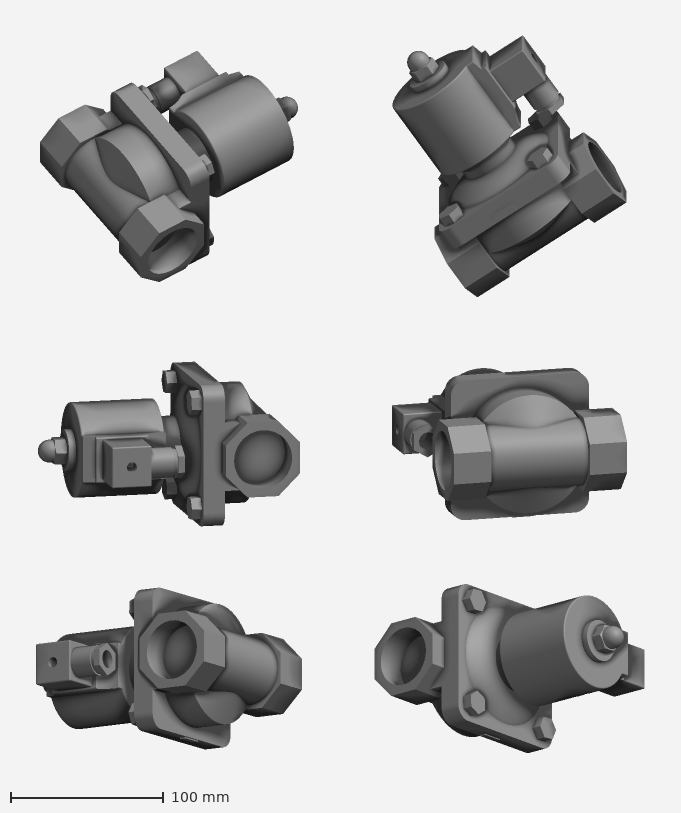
import cadquery as cq
import math


port_sides = 8
port_across_flats = 50.0
port_length = 25.5
body_length = 118.3
bore_diameter = 39.0
bore_depth = 20.0
pipe_diameter = 44.8
shell_diameter = 79.6
shell_bottom_y = 0.6
shell_cone_depth = 16.9
shell_cone_tip_diameter = 15.0
mark_length = 15.0
mark_width = 4.2
mark_height = 0.8
mark_offset_x = 2.6

flange_size = 94.2
flange_corner_radius = 9.7
body_flange_thickness = 7.3
body_flange_y = 22.7
parting_y = body_flange_y + body_flange_thickness

bonnet_flange_thickness = 7.1
bonnet_top_y = parting_y + bonnet_flange_thickness
dome_height = 8.6
dome_base_radius = 39.6
neck_diameter = 39.0
neck_length = 13.2
neck_base_y = bonnet_top_y + dome_height

bolt_across_flats = 14.0
bolt_head_height = 6.8
bolt_pitch = 70.5
bolt_turn = 4.0
bolt_count = 4

coil_diameter = 62.7
coil_length = 56.0
coil_edge_fillet = 1.0
coil_bottom_y = neck_base_y + neck_length
coil_top_y = coil_bottom_y + coil_length

pad_width = 30.5
pad_root_x = -32.7
pad_shoulder_x = -34.5
pad_face_x = -37.9
pad_face_top_y = 107.2
pad_face_bottom_y = 73.0
pad_curve_middle_y = 67.4
pad_root_fillet = 0.8
pad_edge_fillet = 1.1

plug_height = 26.8
plug_width = 27.3
plug_depth = 26.5
plug_center_y = 89.5
plug_edge_fillet = 1.0
plug_face_x = pad_face_x - plug_depth
plug_bottom_y = plug_center_y - plug_height / 2

screw_hole_diameter = 6.8
screw_hole_depth = 8.1
screw_head_diameter = 5.5
screw_head_height = 2.0
screw_head_fillet = 1.8
screw_slot_length = 3.5
screw_slot_width = 1.0
screw_slot_depth = 1.3

gland_x = -54.0
gland_diameter = 20.0
gland_length = 15.5
gland_neck_diameter = 18.0
gland_neck_length = 2.6
gland_nut_across_flats = 18.8
gland_nut_height = 4.5
gland_bore_diameter = 12.0

nut_flange_diameter = 27.6
nut_flange_thickness = 4.7
nut_across_flats = 16.4
nut_hex_height = 8.0
nut_chamfer_height = 0.6
nut_cap_diameter = 15.0
nut_cap_straight = 2.3


def hex_corner_diameter(across_flats):
    return across_flats / math.cos(math.pi / 6)


def plane_at(y):
    """Plane across the centre line at height y: local x is X, local y is Z, drawn toward +Y."""
    return cq.Workplane(cq.Plane(origin=(0, y, 0), xDir=(1, 0, 0), normal=(0, -1, 0)))


def rod(diameter, y_start, y_end):
    """Cylinder on the centre line between two heights."""
    return plane_at(y_start).circle(diameter / 2).extrude(y_start - y_end)


def hex_rod(across_flats, y_start, y_end):
    """Hexagonal prism on the centre line with its corners toward +X and -X."""
    corners = hex_corner_diameter(across_flats)
    return plane_at(y_start).polygon(6, corners).extrude(y_start - y_end)


def square_flange(y_start, y_end):
    return (
        plane_at(y_start)
        .rect(flange_size, flange_size)
        .extrude(y_start - y_end)
        .edges("|Y")
        .fillet(flange_corner_radius)
    )


def make_body():
    pipe = cq.Workplane("YZ").circle(pipe_diameter / 2).extrude(body_length / 2, both=True)

    shell = (
        cq.Workplane("XY")
        .moveTo(0, body_flange_y)
        .lineTo(shell_diameter / 2, body_flange_y)
        .lineTo(shell_diameter / 2, shell_bottom_y)
        .lineTo(shell_cone_tip_diameter / 2, shell_bottom_y - shell_cone_depth)
        .lineTo(0, shell_bottom_y - shell_cone_depth)
        .close()
        .revolve(360, (0, 0, 0), (0, 1, 0))
    )
    body = square_flange(body_flange_y, parting_y).union(shell).union(pipe)

    port_corners = port_across_flats / math.cos(math.pi / port_sides)
    lug_length = flange_size / 2 - (body_length / 2 - port_length)
    for side in (-1, 1):
        end_x = side * body_length / 2
        port = (
            cq.Workplane("YZ", origin=(end_x, 0, 0))
            .transformed(rotate=(0, 0, 180 / port_sides))
            .polygon(port_sides, port_corners)
            .extrude(-side * port_length)
        )
        lug = cq.Workplane("XY").box(lug_length, body_flange_y, pipe_diameter).translate(
            (side * (flange_size - lug_length) / 2, body_flange_y / 2, 0)
        )
        bore = (
            cq.Workplane("YZ", origin=(end_x, 0, 0))
            .circle(bore_diameter / 2)
            .extrude(-side * bore_depth)
        )
        body = body.union(port).union(lug).cut(bore)

    mark = cq.Workplane("XY").box(mark_length, mark_width, 2 * mark_height).translate(
        (mark_offset_x, body_flange_y + body_flange_thickness / 2, -flange_size / 2)
    )
    return body.union(mark)


def make_bonnet():
    neck_radius = neck_diameter / 2
    drop = (dome_base_radius**2 - neck_radius**2 - dome_height**2) / (2 * dome_height)
    sphere_radius = math.hypot(dome_base_radius, drop)
    sphere_center_y = bonnet_top_y - drop
    middle_radius = (neck_radius + dome_base_radius) / 2
    middle_y = sphere_center_y + math.sqrt(sphere_radius**2 - middle_radius**2)

    dome_and_neck = (
        cq.Workplane("XY")
        .moveTo(0, bonnet_top_y)
        .lineTo(dome_base_radius, bonnet_top_y)
        .threePointArc((middle_radius, middle_y), (neck_radius, neck_base_y))
        .lineTo(neck_radius, coil_bottom_y)
        .lineTo(0, coil_bottom_y)
        .close()
        .revolve(360, (0, 0, 0), (0, 1, 0))
    )
    return square_flange(parting_y, bonnet_top_y).union(dome_and_neck)


def make_bolt(index):
    """Hexagon head seated on one corner of the bonnet flange."""
    return (
        hex_rod(bolt_across_flats, bonnet_top_y, bonnet_top_y + bolt_head_height)
        .rotate((0, 0, 0), (0, 1, 0), bolt_turn)
        .translate((bolt_pitch / 2, 0, bolt_pitch / 2))
        .rotate((0, 0, 0), (0, 1, 0), index * 360 / bolt_count)
    )


def make_pad():
    """Pad for the plug, with a slanted top shoulder and a hollow curve below its face."""
    return (
        cq.Workplane("XY")
        .moveTo(0, coil_bottom_y)
        .lineTo(0, coil_top_y)
        .lineTo(pad_root_x, coil_top_y)
        .lineTo(pad_shoulder_x, pad_face_top_y)
        .lineTo(pad_face_x, pad_face_top_y)
        .lineTo(pad_face_x, pad_face_bottom_y)
        .threePointArc((pad_shoulder_x, pad_curve_middle_y), (pad_root_x, coil_bottom_y))
        .close()
        .extrude(pad_width / 2, both=True)
        .faces("<X")
        .edges("|Y")
        .fillet(pad_edge_fillet)
    )


def make_plug():
    housing = (
        cq.Workplane("XY")
        .box(plug_depth, plug_height, plug_width)
        .translate((plug_face_x + plug_depth / 2, plug_center_y, 0))
        .edges("not >X")
        .fillet(plug_edge_fillet)
    )

    neck_y = plug_bottom_y - gland_length
    gland_nut_y = neck_y - gland_neck_length
    gland_end_y = gland_nut_y - gland_nut_height
    gland = (
        rod(gland_diameter, neck_y, plug_bottom_y)
        .union(rod(gland_neck_diameter, gland_nut_y, neck_y))
        .union(
            hex_rod(gland_nut_across_flats, gland_end_y, gland_nut_y).rotate((0, 0, 0), (0, 1, 0), 90)
        )
        .cut(rod(gland_bore_diameter, gland_end_y, plug_bottom_y))
        .translate((gland_x, 0, 0))
    )

    screw_hole = (
        cq.Workplane("YZ", origin=(plug_face_x, plug_center_y, 0))
        .circle(screw_hole_diameter / 2)
        .extrude(screw_hole_depth)
    )
    return housing.union(gland).cut(screw_hole).union(make_screw_head())


def make_screw_head():
    """Rounded head with a cross recess, standing on the floor of the screw hole."""
    floor_x = plug_face_x + screw_hole_depth
    top_x = floor_x - screw_head_height
    head = (
        cq.Workplane("YZ", origin=(floor_x, plug_center_y, 0))
        .circle(screw_head_diameter / 2)
        .extrude(-screw_head_height)
        .faces("<X")
        .edges()
        .fillet(screw_head_fillet)
    )
    recess = (
        cq.Workplane("YZ", origin=(top_x, plug_center_y, 0))
        .rect(screw_slot_length, screw_slot_width)
        .extrude(screw_slot_depth)
        .union(
            cq.Workplane("YZ", origin=(top_x, plug_center_y, 0))
            .rect(screw_slot_width, screw_slot_length)
            .extrude(screw_slot_depth)
        )
    )
    return head.cut(recess)


def make_coil():
    winding = rod(coil_diameter, coil_bottom_y, coil_top_y)
    seam_x = -math.sqrt((coil_diameter / 2) ** 2 - (pad_width / 2) ** 2)
    seams = cq.selectors.BoxSelector(
        (seam_x - pad_root_fillet, coil_bottom_y, -pad_width),
        (seam_x + pad_root_fillet, coil_top_y, pad_width),
    )
    coil = winding.union(make_pad()).edges("|Y").edges(seams).fillet(pad_root_fillet)
    rims = coil.faces("<Y or >Y").edges("%CIRCLE")
    return rims.fillet(coil_edge_fillet).union(make_plug())


def make_cap_nut():
    hex_y = coil_top_y + nut_flange_thickness
    hex_top_y = hex_y + nut_hex_height
    cap_y = hex_top_y + nut_cap_straight
    corners = hex_corner_diameter(nut_across_flats)

    flange = rod(nut_flange_diameter, coil_top_y, hex_y)
    corner_cone = rod(corners, hex_y, hex_top_y).faces("<Y or >Y").chamfer(
        nut_chamfer_height, (corners - nut_across_flats) / 2
    )
    hexagon = hex_rod(nut_across_flats, hex_y, hex_top_y).intersect(corner_cone)
    cap = rod(nut_cap_diameter, hex_top_y, cap_y).union(
        cq.Workplane("XY").sphere(nut_cap_diameter / 2).translate((0, cap_y, 0))
    )
    return flange.union(hexagon).union(cap)


body = make_body()
bonnet = make_bonnet()
bolts = [make_bolt(index) for index in range(bolt_count)]
coil = make_coil()
cap_nut = make_cap_nut()

result = cq.Compound.makeCompound(
    [body.val(), bonnet.val(), coil.val(), cap_nut.val(), *[bolt.val() for bolt in bolts]]
)